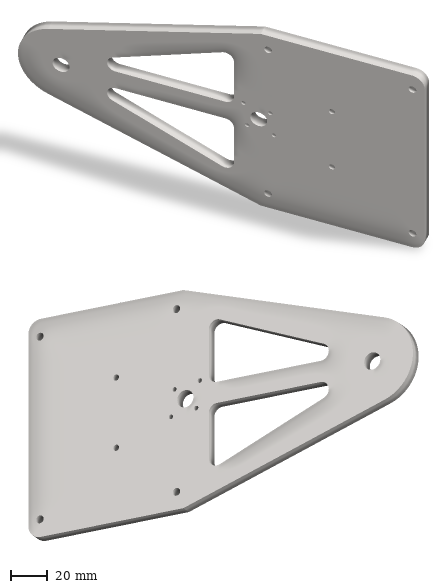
import cadquery as cq
import math

length = 237.2
height = 127.0
thickness = 6.5
half_height = height / 2
nose_radius = 25.1
pivot_x = nose_radius
shoulder_x = 141.5
corner_radius = 7.5

pivot_diameter = 10.0
hub_diameter = 10.0
hub_x = 140.5
mount_diameter = 4.5
mount_front_x = 145.9
mount_rear_x = 230.0
mount_z = 53.1
middle_diameter = 3.5
middle_x = 183.0
middle_z = 20.5

screw_diameter = 2.5
wide_pair_radius = 12.5
narrow_pair_radius = 9.5
wide_pair_angles = (135, 315)
narrow_pair_angles = (45, 225)

window_radius = 5.0
window_left = 52.0
window_right = 126.0
window_inner_z = 6.2
window_outer_z = 42.5


def plate_outline():
    """Plate with the arm edges tangent to the nose and rounded rear corners."""
    run = shoulder_x - pivot_x
    shoulder_distance = math.hypot(run, half_height)
    tangent_angle = math.atan2(half_height, run) + math.acos(nose_radius / shoulder_distance)
    tangent_x = pivot_x + nose_radius * math.cos(tangent_angle)
    tangent_z = nose_radius * math.sin(tangent_angle)
    plate = (
        cq.Workplane("XZ")
        .moveTo(tangent_x, -tangent_z)
        .threePointArc((0, 0), (tangent_x, tangent_z))
        .lineTo(shoulder_x, half_height)
        .lineTo(length, half_height)
        .lineTo(length, -half_height)
        .lineTo(shoulder_x, -half_height)
        .close()
        .extrude(thickness)
    )
    return plate.edges("|Y and >X").fillet(corner_radius)


def round_holes(diameter, points):
    return cq.Workplane("XZ").pushPoints(points).circle(diameter / 2).extrude(thickness)


def hub_pair(radius, angles):
    points = [
        (hub_x + radius * math.cos(math.radians(a)), radius * math.sin(math.radians(a)))
        for a in angles
    ]
    return round_holes(screw_diameter, points)


def upper_window():
    """Right triangle whose rounded corners reach the window limits."""
    tip_center_x = window_left + window_radius
    center_run = window_right - window_radius - tip_center_x
    center_rise = window_outer_z - window_inner_z - 2 * window_radius
    slope_angle = math.atan2(center_rise, center_run)
    tip_x = tip_center_x - window_radius / math.tan(slope_angle / 2)
    peak_z = window_inner_z + (window_right - tip_x) * math.tan(slope_angle)
    corners = [(tip_x, window_inner_z), (window_right, window_inner_z), (window_right, peak_z)]
    window = cq.Workplane("XZ").polyline(corners).close().extrude(thickness)
    return window.edges("|Y").fillet(window_radius)


mount_points = [(x, z) for x in (mount_front_x, mount_rear_x) for z in (-mount_z, mount_z)]
middle_points = [(middle_x, -middle_z), (middle_x, middle_z)]
window = upper_window()

cutouts = [
    window,
    window.mirror("XY"),
    round_holes(pivot_diameter, [(pivot_x, 0)]),
    round_holes(hub_diameter, [(hub_x, 0)]),
    round_holes(mount_diameter, mount_points),
    round_holes(middle_diameter, middle_points),
    hub_pair(wide_pair_radius, wide_pair_angles),
    hub_pair(narrow_pair_radius, narrow_pair_angles),
]

result = plate_outline()
for cutout in cutouts:
    result = result.cut(cutout)